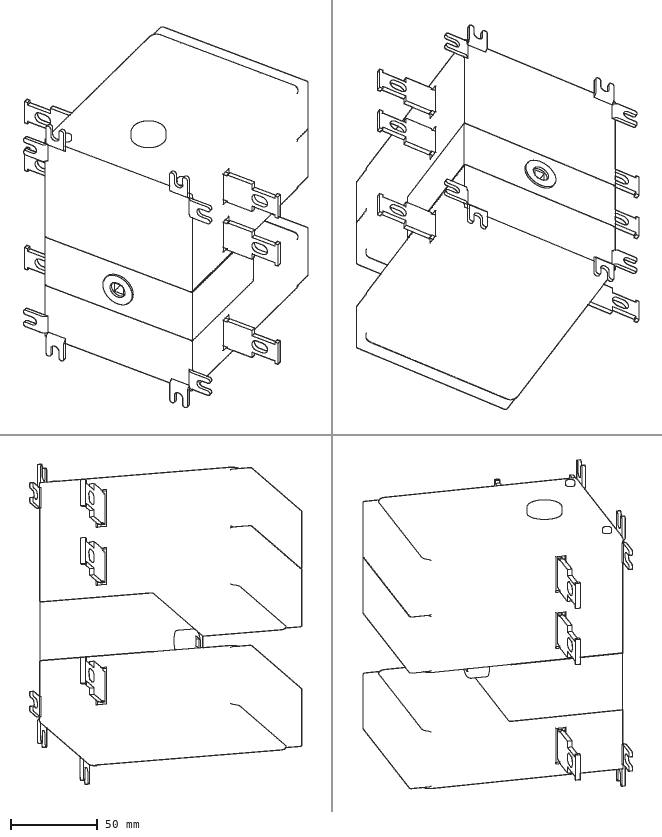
import cadquery as cq
import math

OVERALL_HEIGHT = 167.0
BODY_WIDTH = 100.0
HALF_WIDTH = BODY_WIDTH / 2
BODY_DEPTH = 119.3
BODY_REAR_RADIUS = 5.0
EDGE_RADIUS = 0.9
UPPER_TOP = 71.7
UPPER_BOTTOM = 0.2
LOWER_TOP = -34.9
LOWER_BOTTOM = -UPPER_TOP

POLE_HEIGHT = 34.7
OUTER_POLE_Z = 53.1
POLE_CENTERS = (OUTER_POLE_Z, OUTER_POLE_Z - POLE_HEIGHT, -OUTER_POLE_Z)
CAP_START = 103.2
CAP_BACK = 128.0
CAP_CORNER_RADIUS = 1.5

DRIVE_FRONT = 0.2
DRIVE_BACK = 68.1
DRIVE_CORNER_RADIUS = 1.5
DRIVE_CENTER_Z = (UPPER_BOTTOM + LOWER_TOP) / 2
BOSS_DIAMETER = 15.8
BOSS_BACK = 80.0
BOSS_FILLET = 2.4
DISC_DIAMETER = 20.0
DISC_HEIGHT = 1.2
SOCKET_DIAMETER = 10.0
SOCKET_DEPTH = 1.5
SQUARE_SIZE = 6.0

BUTTON_DIAMETER = 20.3
BUTTON_HEIGHT = 4.6
BUTTON_Y = 32.8
BUTTON_FILLET = 1.2
PIN_DIAMETER = 5.3
PIN_HEIGHT = 2.8
PIN_X = 38.9
PIN_Y = 6.4
PIN_FILLET = 0.9

TERMINAL_TIP = 86.0
TERMINAL_Y = 37.1
TERMINAL_THICKNESS = 2.8
HEAD_LENGTH = 2.0
HEAD_WIDTH = 15.5
NARROW_WIDTH = 12.0
WIDE_START = 68.5
WIDE_WIDTH = 19.8
NECK_START = 51.5
NECK_WIDTH = 18.2
TERMINAL_SLOT_CENTER = 73.6
TERMINAL_SLOT_LENGTH = 10.5
TERMINAL_SLOT_WIDTH = 6.9
POCKET_HEIGHT = 22.0
POCKET_WIDTH = 6.2
POCKET_DEPTH = 2.5

FORK_THICKNESS = 2.0
FORK_BEND_ANGLE = math.radians(45)
FORK_LENGTH = 12.5
FORK_WIDTH = 12.0
FORK_ROOT_LENGTH = 3.5
FORK_SLOT_WIDTH = 5.5
FORK_SLOT_DEPTH = 8.8
FORK_PRONG_RADIUS = 1.5
SIDE_FORK_GAP = 0.7
SIDE_FORK_Z = 62.5
END_FORK_X = 42.0


def block(width, y_start, y_end, z_bottom, z_top):
    """Box centred on X between the given Y and Z limits."""
    size = (width, y_end - y_start, z_top - z_bottom)
    center = (0, (y_start + y_end) / 2, (z_bottom + z_top) / 2)
    return cq.Workplane("XY").box(*size).translate(center)


def housing(z_bottom, z_top):
    body = block(BODY_WIDTH, 0, BODY_DEPTH, z_bottom, z_top)
    body = body.edges("|Z and >Y").fillet(BODY_REAR_RADIUS)
    return body.edges("|Y").fillet(EDGE_RADIUS)


def pole_cap(z_center):
    half_height = POLE_HEIGHT / 2
    cap = block(BODY_WIDTH, CAP_START, CAP_BACK, z_center - half_height, z_center + half_height)
    cap = cap.edges("|Z and >Y").fillet(CAP_CORNER_RADIUS)
    return cap.edges("|Y").fillet(EDGE_RADIUS)


def drive_unit():
    unit = block(BODY_WIDTH, DRIVE_FRONT, DRIVE_BACK, LOWER_TOP, UPPER_BOTTOM)
    unit = unit.edges("|Z and >Y").fillet(DRIVE_CORNER_RADIUS)
    axis = cq.Workplane("XZ", origin=(0, 0, DRIVE_CENTER_Z))
    boss = axis.circle(BOSS_DIAMETER / 2).extrude(-BOSS_BACK).faces(">Y").edges().fillet(BOSS_FILLET)
    disc = axis.circle(DISC_DIAMETER / 2).extrude(DISC_HEIGHT)
    return unit.union(boss).union(disc)


def drive_bore():
    """Round socket open at the front, followed by a square hole through to the back."""
    axis = cq.Workplane("XZ", origin=(0, -DISC_HEIGHT, DRIVE_CENTER_Z))
    socket = axis.circle(SOCKET_DIAMETER / 2).extrude(-SOCKET_DEPTH)
    square = axis.rect(SQUARE_SIZE, SQUARE_SIZE).extrude(-(BOSS_BACK + DISC_HEIGHT))
    return socket.union(square)


def top_stud(x, y, diameter, height, fillet):
    stud = cq.Workplane("XY", origin=(x, y, UPPER_TOP)).circle(diameter / 2).extrude(height)
    return stud.faces(">Z").edges().fillet(fillet)


def terminal():
    """Right-hand terminal at Z = 0, rooted in the bottom of its pocket."""
    root = HALF_WIDTH - POCKET_DEPTH
    steps = (
        (root, NECK_START, NECK_WIDTH),
        (NECK_START, WIDE_START, WIDE_WIDTH),
        (WIDE_START, TERMINAL_TIP - HEAD_LENGTH, NARROW_WIDTH),
        (TERMINAL_TIP - HEAD_LENGTH, TERMINAL_TIP, HEAD_WIDTH),
    )
    upper_edge = [(x, width / 2) for start, end, width in steps for x in (start, end)]
    lower_edge = [(x, -z) for x, z in reversed(upper_edge)]
    plane = cq.Workplane("XZ", origin=(0, TERMINAL_Y, 0))
    strip = plane.polyline(upper_edge + lower_edge).close().extrude(TERMINAL_THICKNESS / 2, both=True)
    slot = (
        plane.center(TERMINAL_SLOT_CENTER, 0)
        .slot2D(TERMINAL_SLOT_LENGTH, TERMINAL_SLOT_WIDTH)
        .extrude(TERMINAL_THICKNESS, both=True)
    )
    return strip.cut(slot)


def terminal_pocket():
    pocket = cq.Workplane("XY").box(2 * POCKET_DEPTH, POCKET_WIDTH, POCKET_HEIGHT)
    return pocket.translate((HALF_WIDTH, TERMINAL_Y, 0))


def fork():
    """Fork pointing along +X: plate from the bend at X = 0, its back at Y = 0, its root behind that."""
    offset_x = FORK_THICKNESS * math.sin(FORK_BEND_ANGLE)
    offset_y = FORK_THICKNESS * math.cos(FORK_BEND_ANGLE)
    root_y = FORK_ROOT_LENGTH * math.tan(FORK_BEND_ANGLE)
    bend_middle = FORK_BEND_ANGLE / 2
    strip = (
        cq.Workplane("XY")
        .moveTo(FORK_LENGTH, 0)
        .lineTo(0, 0)
        .lineTo(-FORK_ROOT_LENGTH, root_y)
        .lineTo(-FORK_ROOT_LENGTH - offset_x, root_y - offset_y)
        .lineTo(-offset_x, -offset_y)
        .threePointArc(
            (-FORK_THICKNESS * math.sin(bend_middle), -FORK_THICKNESS * math.cos(bend_middle)),
            (0, -FORK_THICKNESS),
        )
        .lineTo(FORK_LENGTH, -FORK_THICKNESS)
        .close()
        .extrude(FORK_WIDTH / 2, both=True)
    )

    slot_radius = FORK_SLOT_WIDTH / 2
    slot_center = FORK_LENGTH - FORK_SLOT_DEPTH + slot_radius
    slot = (
        cq.Workplane("XZ")
        .moveTo(FORK_LENGTH, slot_radius)
        .lineTo(slot_center, slot_radius)
        .threePointArc((slot_center - slot_radius, 0), (slot_center, -slot_radius))
        .lineTo(FORK_LENGTH, -slot_radius)
        .close()
        .extrude(2 * FORK_THICKNESS, both=True)
    )
    return strip.cut(slot).edges("|Y and >X").fillet(FORK_PRONG_RADIUS)


def with_mirror(shape, plane):
    return shape.union(shape.mirror(plane))


result = drive_unit()
result = result.union(housing(UPPER_BOTTOM, UPPER_TOP)).union(housing(LOWER_BOTTOM, LOWER_TOP))
for pole in POLE_CENTERS:
    result = result.union(pole_cap(pole))
result = result.cut(drive_bore())

result = result.union(top_stud(0, BUTTON_Y, BUTTON_DIAMETER, BUTTON_HEIGHT, BUTTON_FILLET))
for side in (-1, 1):
    result = result.union(top_stud(side * PIN_X, PIN_Y, PIN_DIAMETER, PIN_HEIGHT, PIN_FILLET))

pockets = with_mirror(terminal_pocket(), "YZ")
terminals = with_mirror(terminal(), "YZ")
for pole in POLE_CENTERS:
    result = result.cut(pockets.translate((0, 0, pole)))
    result = result.union(terminals.translate((0, 0, pole)))

side_fork = fork().translate((HALF_WIDTH + SIDE_FORK_GAP, 0, SIDE_FORK_Z))
end_fork = fork().rotate((0, 0, 0), (0, 1, 0), -90)
end_fork = end_fork.translate((END_FORK_X, 0, OVERALL_HEIGHT / 2 - FORK_LENGTH))
for corner_fork in (side_fork, end_fork):
    result = result.union(with_mirror(with_mirror(corner_fork, "YZ"), "XY"))